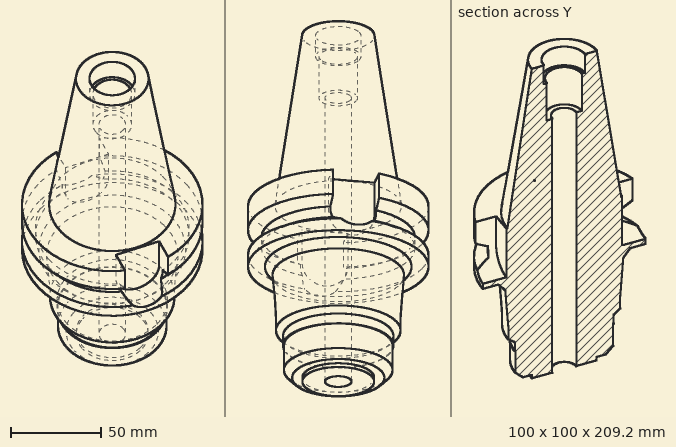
import cadquery as cq

total_height = 209.2
nose_boss_height = 2.3
nose_chamfer_top = 7.0
nose_top = 21.8
collar_top = 27.6
body_chamfer_top = 30.8
body_straight_top = 39.0
body_top = 64.5
flange_bottom = 69.5
lower_rim_top = 76.5
groove_bottom = 80.8
groove_top = 87.2
upper_rim_bottom = 91.5
flange_top = 106.0
gauge_band_height = 1.3

nose_boss_radius = 19.9
nose_chamfer_radius = 25.5
nose_radius = 30.1
collar_radius = 30.5
body_radius = 34.5
body_top_radius = 36.5
flange_neck_radius = 40.5
flange_radius = 50.0
groove_radius = 42.5
taper_large_radius = 35.0
taper_small_radius = 20.0

through_radius = 7.3
thread_radius = 10.7
thread_depth = 37.7
mouth_radius = 12.5
mouth_depth = 12.5

slot_width = 26.0
slot_depth = 32.8
slot_floor_distance = 35.5


def make_body():
    """Revolve the complete outer outline about the Z axis."""
    outline = [
        (0, 0),
        (nose_boss_radius, 0),
        (nose_boss_radius, nose_boss_height),
        (nose_chamfer_radius, nose_boss_height),
        (nose_radius, nose_chamfer_top),
        (nose_radius, nose_top),
        (collar_radius, nose_top),
        (collar_radius, collar_top),
        (body_radius, body_chamfer_top),
        (body_radius, body_straight_top),
        (body_top_radius, body_top),
        (flange_neck_radius, flange_bottom),
        (flange_radius, flange_bottom),
        (flange_radius, lower_rim_top),
        (groove_radius, groove_bottom),
        (groove_radius, groove_top),
        (flange_radius, upper_rim_bottom),
        (flange_radius, flange_top),
        (taper_large_radius, flange_top),
        (taper_large_radius, flange_top + gauge_band_height),
        (taper_small_radius, total_height),
        (0, total_height),
    ]
    return cq.Workplane("XZ").polyline(outline).close().revolve(360, (0, 0, 0), (0, 1, 0))


def bore_from_top(radius, depth):
    """Cylinder reaching down from the small end of the taper."""
    return cq.Workplane("XY", origin=(0, 0, total_height)).circle(radius).extrude(-depth)


def drive_slot(side):
    """Round-bottomed slot cutter on the +X (side = 1) or -X (side = -1) rim."""
    half_width = slot_width / 2
    slot_bottom = flange_top - slot_depth
    arc_center_height = slot_bottom + half_width
    radial_length = flange_radius - slot_floor_distance
    return (
        cq.Workplane("YZ", origin=(side * slot_floor_distance, 0, 0))
        .moveTo(-half_width, flange_top)
        .lineTo(-half_width, arc_center_height)
        .threePointArc((0, slot_bottom), (half_width, arc_center_height))
        .lineTo(half_width, flange_top)
        .close()
        .extrude(side * radial_length)
    )


result = make_body()

for bore_radius, bore_depth in (
    (mouth_radius, mouth_depth),
    (thread_radius, thread_depth),
    (through_radius, total_height),
):
    result = result.cut(bore_from_top(bore_radius, bore_depth))

for slot_side in (1, -1):
    result = result.cut(drive_slot(slot_side))